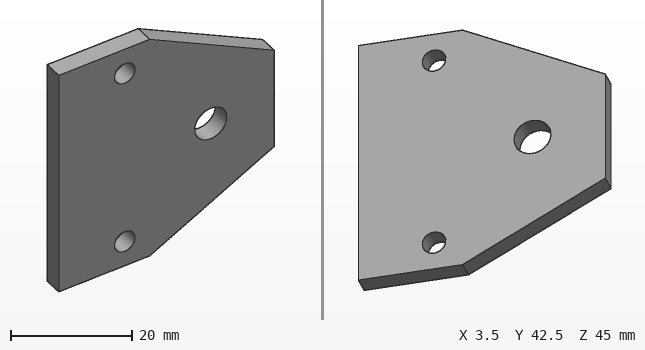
import cadquery as cq

thickness = 3.5
length = 42.45
height = 45.0
nose_height = 20.0
shoulder_length = 17.9

small_hole_diameter = 4.0
small_hole_spacing = 34.9
small_hole_from_base = 13.0
large_hole_diameter = 6.3
large_hole_from_nose = 12.5

base_y = -length / 2
nose_y = length / 2
shoulder_y = base_y + shoulder_length
small_hole_y = base_y + small_hole_from_base
large_hole_y = nose_y - large_hole_from_nose


def make_plate():
    """Plate tapering symmetrically from its shoulders to the nose."""
    outline = [
        (base_y, -height / 2),
        (shoulder_y, -height / 2),
        (nose_y, -nose_height / 2),
        (nose_y, nose_height / 2),
        (shoulder_y, height / 2),
        (base_y, height / 2),
    ]
    return cq.Workplane("YZ").polyline(outline).close().extrude(thickness / 2, both=True)


def make_holes(diameter, centres):
    """Cylinders that cut through the full thickness at the given (Y, Z) centres."""
    back_face = cq.Workplane("YZ", origin=(-thickness / 2, 0, 0))
    return back_face.pushPoints(centres).circle(diameter / 2).extrude(thickness)


small_hole_centres = [(small_hole_y, side * small_hole_spacing / 2) for side in (-1, 1)]

result = (
    make_plate()
    .cut(make_holes(small_hole_diameter, small_hole_centres))
    .cut(make_holes(large_hole_diameter, [(large_hole_y, 0)]))
)